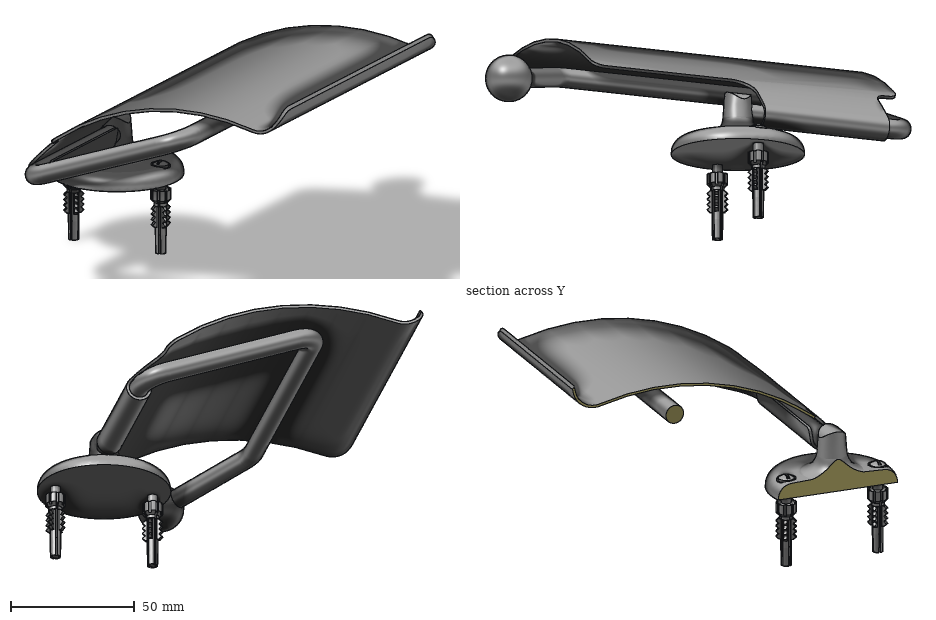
import cadquery as cq
import math

PLATE_RADIUS = 27.0
PLATE_HEIGHT = 6.5
PLATE_RIM_Z = 0.5
PLATE_FLAT_RADIUS = 21.5
PLATE_ROUND = 6.0
FLARE_FOOT_RADIUS = 12.9
FLARE_FOOT_Z = 6.9
FLARE_RADIUS = 9.5
POST_BASE_RADIUS = 6.2
POST_BASE_Z = 13.9
POST_TOP_RADIUS = 5.3
POST_TOP_Z = 25.2
CROWN_RADIUS = 6.3

SCREW_OFFSET = 20.0
HEAD_RADIUS = 3.3
HEAD_POCKET_RADIUS = 4.0
HEAD_SEAT_Z = 5.7
HEAD_RIM_Z = 6.7
HEAD_TOP_Z = 8.0
HEAD_SLOT_WIDTH = 1.0
HEAD_SLOT_DEPTH = 0.9
SHANK_RADIUS = 2.0
CORE_RADIUS = 1.4
CORE_END_Z = -22.8

PLUG_TOP_Z = -3.8
PLUG_BOTTOM_Z = -30.7
COLLAR_RADIUS = 4.1
COLLAR_CONE_Z = -7.9
NECK_TOP_Z = -9.3
NECK_RADIUS = 2.7
NECK_BOTTOM_Z = -10.6
STEM_RADIUS = 2.2
TIP_RADIUS = 2.0
SLIT_WIDTH = 0.9
SLIT_TOP_Z = COLLAR_CONE_Z
COLLAR_GROOVES = 8
COLLAR_GROOVE_WIDTH = 1.0
COLLAR_GROOVE_DEPTH = 0.7
TOOTH_FINS = 4
TEETH_PER_FIN = 4
TOOTH_PITCH = 2.2
TOOTH_TIP_RADIUS = 4.1
TOOTH_ROOT_RADIUS = 3.0
FIN_THICKNESS = 1.4
PLUG_TURNS = {-SCREW_OFFSET: 0, SCREW_OFFSET: 15}

ROD_RADIUS = 4.0
ROD_Z = 17.5
ROD_TILT = 20
BEND_RADIUS = 10.0
SIDE_RUN_Y = -75.6
ROLL_RUN_U = 76.1
HANDLE_ANGLE = 42

BALL_RADIUS = 9.5
BALL_U = 44.5
BALL_Y = 82.5
BALL_SOCKET_DEPTH = 5.1

SHEET = 1.2
COVER_ARC_X = 76.3
COVER_ARC_RADIUS = 107.7
CURL_END_ANGLE = -10
LIP_TOP_Z = 22.6
LIP_CORNER_RADIUS = 1.5
FLUTE_START_ANGLE = 15
FLUTE_RADIUS = 8.7
FLUTE_END_ANGLE = -12
TIP_Z = 62.0
COVER_EDGE_X = 9.8
COVER_BACK_Y = 59.0
COVER_FRONT_Y = -75.5
TAB_BACK_Y = -10.0
TAB_FRONT_Y = -64.8
TAB_REACH = 25.7
BACK_CORNER_RADIUS = 5.1
FRONT_CORNER_RADIUS = 4.5
TAB_BACK_FILLET = 9.0
TAB_FRONT_FILLET = 4.5
FLUTE_CORNER_RADIUS = 10.0


def polar(center, radius, degrees):
    """Point at a given radius and angle around a 2D center."""
    angle = math.radians(degrees)
    return (center[0] + radius * math.cos(angle), center[1] + radius * math.sin(angle))


def tilted_plane(origin, degrees):
    """Plane that contains the Y direction and rises toward +X; local y is global Y."""
    angle = math.radians(degrees)
    return cq.Plane(
        origin=origin,
        xDir=(math.cos(angle), 0, math.sin(angle)),
        normal=(-math.sin(angle), 0, math.cos(angle)),
    )


def arc_sag(start, end, radius):
    """Height of an arc of the given radius above its chord."""
    half_chord = math.dist(start, end) / 2
    return radius - math.sqrt(radius**2 - half_chord**2)


def make_screw(x):
    profile = (
        cq.Workplane("XZ")
        .moveTo(0, CORE_END_Z)
        .lineTo(CORE_RADIUS, CORE_END_Z)
        .lineTo(CORE_RADIUS, PLUG_TOP_Z)
        .lineTo(SHANK_RADIUS, PLUG_TOP_Z)
        .lineTo(SHANK_RADIUS, HEAD_SEAT_Z)
        .lineTo(HEAD_RADIUS, HEAD_SEAT_Z)
        .lineTo(HEAD_RADIUS, HEAD_RIM_Z)
    )
    dome_rise = HEAD_TOP_Z - HEAD_RIM_Z
    dome_radius = (HEAD_RADIUS**2 + dome_rise**2) / (2 * dome_rise)
    half_angle = math.degrees(math.asin(HEAD_RADIUS / dome_radius)) / 2
    dome_middle = polar((0, HEAD_TOP_Z - dome_radius), dome_radius, 90 - half_angle)
    body = profile.threePointArc(dome_middle, (0, HEAD_TOP_Z)).close().revolve(360, (0, 0), (0, 1))
    slot = cq.Workplane("XY").box(
        HEAD_SLOT_WIDTH, 2 * HEAD_RADIUS, 2 * HEAD_SLOT_DEPTH
    ).translate((0, 0, HEAD_TOP_Z))
    return body.cut(slot).translate((x, 0, 0))


def tooth_fin():
    """Plate in the XZ plane with a saw-tooth outer edge."""
    outline = cq.Workplane("XZ").moveTo(CORE_RADIUS, NECK_BOTTOM_Z).lineTo(TOOTH_ROOT_RADIUS, NECK_BOTTOM_Z)
    for tooth in range(TEETH_PER_FIN):
        tooth_top = NECK_BOTTOM_Z - tooth * TOOTH_PITCH
        outline = outline.lineTo(TOOTH_TIP_RADIUS, tooth_top - TOOTH_PITCH / 2)
        outline = outline.lineTo(TOOTH_ROOT_RADIUS, tooth_top - TOOTH_PITCH)
    fin_bottom = NECK_BOTTOM_Z - TEETH_PER_FIN * TOOTH_PITCH
    return outline.lineTo(CORE_RADIUS, fin_bottom).close().extrude(FIN_THICKNESS / 2, both=True)


def make_plug(x, turn):
    plug = (
        cq.Workplane("XZ")
        .polyline([
            (0, PLUG_TOP_Z),
            (COLLAR_RADIUS, PLUG_TOP_Z),
            (COLLAR_RADIUS, COLLAR_CONE_Z),
            (NECK_RADIUS, NECK_TOP_Z),
            (NECK_RADIUS, NECK_BOTTOM_Z),
            (STEM_RADIUS, NECK_BOTTOM_Z),
            (STEM_RADIUS, CORE_END_Z),
            (TIP_RADIUS, PLUG_BOTTOM_Z),
            (0, PLUG_BOTTOM_Z),
        ])
        .close()
        .revolve(360, (0, 0), (0, 1))
    )
    fin_step = 360 / TOOTH_FINS
    for index in range(TOOTH_FINS):
        plug = plug.union(tooth_fin().rotate((0, 0, 0), (0, 0, 1), (index + 0.5) * fin_step))

    grooves = (
        cq.Workplane("XY")
        .workplane(offset=PLUG_TOP_Z)
        .polarArray(COLLAR_RADIUS, 0, 360, COLLAR_GROOVES)
        .rect(2 * COLLAR_GROOVE_DEPTH, COLLAR_GROOVE_WIDTH)
        .extrude(NECK_TOP_Z - PLUG_TOP_Z)
    )
    slits = cq.Workplane("XY").workplane(offset=SLIT_TOP_Z)
    slit_depth = PLUG_BOTTOM_Z - SLIT_TOP_Z
    slit_along_x = slits.rect(2 * COLLAR_RADIUS, SLIT_WIDTH).extrude(slit_depth)
    slit_along_y = slits.rect(SLIT_WIDTH, 2 * COLLAR_RADIUS).extrude(slit_depth)
    bore = (
        cq.Workplane("XY")
        .workplane(offset=PLUG_TOP_Z)
        .circle(CORE_RADIUS)
        .extrude(CORE_END_Z - PLUG_TOP_Z)
    )
    tip_core = (
        cq.Workplane("XY")
        .workplane(offset=CORE_END_Z)
        .circle(CORE_RADIUS)
        .extrude(PLUG_BOTTOM_Z - CORE_END_Z)
    )
    plug = plug.cut(grooves).cut(slit_along_x).cut(slit_along_y).cut(bore).union(tip_core)
    return plug.rotate((0, 0, 0), (0, 0, 1), turn).translate((x, 0, 0))


ROD_PLANE = tilted_plane((0, 0, ROD_Z), ROD_TILT)


def make_rod():
    handle = math.radians(HANDLE_ANGLE)
    handle_direction = (-math.sin(handle), math.cos(handle))
    end_inset = BALL_RADIUS - BALL_SOCKET_DEPTH
    rod_end = (BALL_U - end_inset * handle_direction[0], BALL_Y - end_inset * handle_direction[1])
    corner_y = BALL_Y - (ROLL_RUN_U - BALL_U) / math.tan(handle)
    setback = BEND_RADIUS * math.tan(handle / 2)
    last_bend_end = (
        ROLL_RUN_U + setback * handle_direction[0],
        corner_y + setback * handle_direction[1],
    )
    path = (
        cq.Workplane(ROD_PLANE)
        .moveTo(0, 0)
        .lineTo(0, SIDE_RUN_Y + BEND_RADIUS)
        .tangentArcPoint((BEND_RADIUS, SIDE_RUN_Y), relative=False)
        .lineTo(ROLL_RUN_U - BEND_RADIUS, SIDE_RUN_Y)
        .tangentArcPoint((ROLL_RUN_U, SIDE_RUN_Y + BEND_RADIUS), relative=False)
        .lineTo(ROLL_RUN_U, corner_y - setback)
        .tangentArcPoint(last_bend_end, relative=False)
        .lineTo(*rod_end)
    )
    return cq.Workplane("XZ", origin=(0, 0, ROD_Z)).circle(ROD_RADIUS).sweep(path)


def make_ball(rod):
    center = ROD_PLANE.toWorldCoords((BALL_U, BALL_Y, 0))
    return cq.Workplane("XY").sphere(BALL_RADIUS).translate(center.toTuple()).cut(rod)


def make_rosette(rod, screws):
    rim = (PLATE_RADIUS, PLATE_RIM_Z)
    flat_edge = (PLATE_FLAT_RADIUS, PLATE_HEIGHT)
    flare_foot = (FLARE_FOOT_RADIUS, FLARE_FOOT_Z)
    post_base = (POST_BASE_RADIUS, POST_BASE_Z)
    rosette = (
        cq.Workplane("XZ")
        .moveTo(0, 0)
        .lineTo(PLATE_RADIUS, 0)
        .lineTo(*rim)
        .sagittaArc(flat_edge, -arc_sag(rim, flat_edge, PLATE_ROUND))
        .lineTo(*flare_foot)
        .sagittaArc(post_base, arc_sag(flare_foot, post_base, FLARE_RADIUS))
        .lineTo(POST_TOP_RADIUS, POST_TOP_Z)
        .lineTo(0, POST_TOP_Z)
        .close()
        .revolve(360, (0, 0), (0, 1))
    )
    crown_z = POST_TOP_Z - CROWN_RADIUS
    above_crown = (
        cq.Workplane("XZ")
        .moveTo(-CROWN_RADIUS, crown_z)
        .threePointArc((0, POST_TOP_Z), (CROWN_RADIUS, crown_z))
        .lineTo(CROWN_RADIUS, POST_TOP_Z + CROWN_RADIUS)
        .lineTo(-CROWN_RADIUS, POST_TOP_Z + CROWN_RADIUS)
        .close()
        .extrude(CROWN_RADIUS, both=True)
    )
    rosette = rosette.cut(above_crown).cut(rod)
    for screw in screws:
        rosette = rosette.cut(screw)
    head_pockets = (
        cq.Workplane("XY")
        .workplane(offset=HEAD_SEAT_Z)
        .pushPoints([(x, 0) for x in PLUG_TURNS])
        .circle(HEAD_POCKET_RADIUS)
        .extrude(HEAD_TOP_Z - HEAD_SEAT_Z)
    )
    return rosette.cut(head_pockets)


def leaning_end(start, arc_angle, end_z):
    """Point at height end_z on the tangent of an arc that ends at start, at arc_angle degrees."""
    lean = math.tan(math.radians(-arc_angle))
    return (start[0] + (end_z - start[1]) * lean, end_z)


def cover_outline(arc_center, tip_x):
    """Prism of the rounded sheet outline, square to the sheet at its long left edge."""
    edge_offset = COVER_ARC_X - COVER_EDGE_X
    edge_z = arc_center[1] + math.sqrt(COVER_ARC_RADIUS**2 - edge_offset**2)
    edge_slope = math.asin(edge_offset / COVER_ARC_RADIUS)
    trim_plane = tilted_plane((COVER_EDGE_X, 0, edge_z), math.degrees(edge_slope))
    tip_reach = trim_plane.toLocalCoords(cq.Vector(tip_x, 0, TIP_Z)).x
    trim = (
        cq.Workplane(trim_plane)
        .polyline([
            (0, COVER_BACK_Y),
            (tip_reach, COVER_BACK_Y),
            (tip_reach, COVER_FRONT_Y),
            (0, COVER_FRONT_Y),
            (0, TAB_FRONT_Y),
            (-TAB_REACH, TAB_FRONT_Y),
            (-TAB_REACH, TAB_BACK_Y),
            (0, TAB_BACK_Y),
        ])
        .close()
        .extrude(COVER_ARC_RADIUS, both=True)
    )
    corners = [
        (0, COVER_BACK_Y, BACK_CORNER_RADIUS),
        (tip_reach, COVER_BACK_Y, FLUTE_CORNER_RADIUS),
        (tip_reach, COVER_FRONT_Y, FLUTE_CORNER_RADIUS),
        (0, COVER_FRONT_Y, FRONT_CORNER_RADIUS),
        (0, TAB_FRONT_Y, TAB_FRONT_FILLET),
        (0, TAB_BACK_Y, TAB_BACK_FILLET),
    ]
    for along, y, radius in corners:
        corner = trim_plane.toWorldCoords((along, y, 0)).toTuple()
        trim = trim.edges(cq.selectors.NearestToPointSelector(corner)).fillet(radius)
    return trim


def make_cover():
    curl_outer = ROD_RADIUS + SHEET
    curl_center = (0, ROD_Z)
    arc_drop = math.sqrt((COVER_ARC_RADIUS - curl_outer)**2 - COVER_ARC_X**2)
    arc_center = (COVER_ARC_X, ROD_Z - arc_drop)
    curl_join = 180 - math.degrees(math.atan2(arc_drop, COVER_ARC_X))
    curl_middle = (curl_join + 360 + CURL_END_ANGLE) / 2
    flute_join = 90 - FLUTE_START_ANGLE
    arc_middle = (curl_join + flute_join) / 2
    flute_center = polar(arc_center, COVER_ARC_RADIUS + FLUTE_RADIUS, flute_join)
    flute_middle = (flute_join - 180 + FLUTE_END_ANGLE) / 2
    arc_inner = COVER_ARC_RADIUS - SHEET
    flute_outer = FLUTE_RADIUS + SHEET
    flute_end_inner = polar(flute_center, FLUTE_RADIUS, FLUTE_END_ANGLE)
    flute_end_outer = polar(flute_center, flute_outer, FLUTE_END_ANGLE)
    tip_inner = leaning_end(flute_end_inner, FLUTE_END_ANGLE, TIP_Z)
    tip_outer = leaning_end(flute_end_outer, FLUTE_END_ANGLE, TIP_Z)
    curl_end_inner = polar(curl_center, ROD_RADIUS, CURL_END_ANGLE)
    curl_end_outer = polar(curl_center, curl_outer, CURL_END_ANGLE)
    lip_inner = leaning_end(curl_end_inner, CURL_END_ANGLE, LIP_TOP_Z)
    lip_outer = leaning_end(curl_end_outer, CURL_END_ANGLE, LIP_TOP_Z)

    sheet = (
        cq.Workplane("XZ", origin=(0, COVER_BACK_Y, 0))
        .moveTo(*lip_inner)
        .lineTo(*lip_outer)
        .lineTo(*curl_end_outer)
        .threePointArc(
            polar(curl_center, curl_outer, curl_middle), polar(curl_center, curl_outer, curl_join))
        .threePointArc(
            polar(arc_center, COVER_ARC_RADIUS, arc_middle), polar(arc_center, COVER_ARC_RADIUS, flute_join))
        .threePointArc(polar(flute_center, FLUTE_RADIUS, flute_middle), flute_end_inner)
        .lineTo(*tip_inner)
        .lineTo(*tip_outer)
        .lineTo(*flute_end_outer)
        .threePointArc(
            polar(flute_center, flute_outer, flute_middle), polar(arc_center, arc_inner, flute_join))
        .threePointArc(polar(arc_center, arc_inner, arc_middle), polar(arc_center, arc_inner, curl_join))
        .threePointArc(polar(curl_center, ROD_RADIUS, curl_middle), curl_end_inner)
        .close()
        .extrude(COVER_BACK_Y - COVER_FRONT_Y)
    )

    trim = cover_outline(arc_center, tip_inner[0])
    cover = sheet.intersect(trim)
    lip_middle_x = (lip_inner[0] + lip_outer[0]) / 2
    for y in (TAB_BACK_Y, TAB_FRONT_Y):
        lip_corner = cq.selectors.NearestToPointSelector((lip_middle_x, y, LIP_TOP_Z))
        cover = cover.edges(lip_corner).fillet(LIP_CORNER_RADIUS)
    return cover


rod = make_rod()
ball = make_ball(rod)
screws = [make_screw(x) for x in PLUG_TURNS]
plugs = [make_plug(x, turn) for x, turn in PLUG_TURNS.items()]
rosette = make_rosette(rod, screws)
cover = make_cover()

result = cq.Compound.makeCompound(
    [rosette.val(), rod.val(), ball.val(), cover.val()]
    + [screw.val() for screw in screws]
    + [plug.val() for plug in plugs]
)